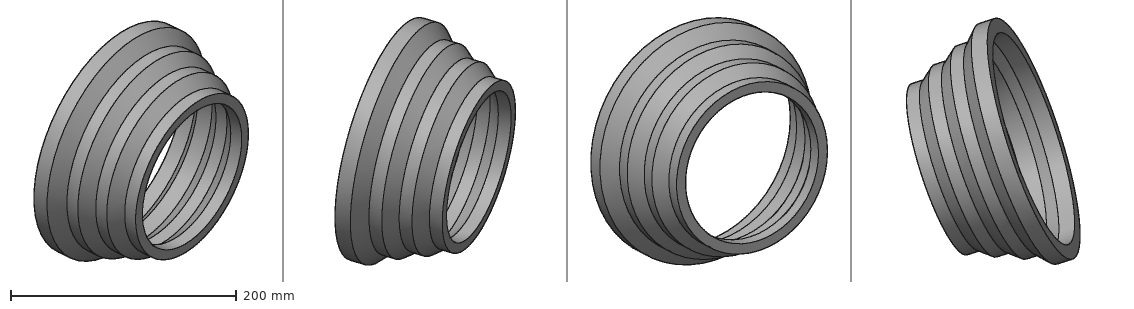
import cadquery as cq

outer_radii = [112.5, 100.0, 90.0, 80.0]
inner_radii = [99.0, 90.5, 80.5, 70.5]

length = 90.0
rim_length = 15.0
step_count = len(outer_radii) - 1
segment_length = (length - rim_length) / (2 * step_count)
first_bore_cone_length = 8.5


def stepped_profile(radii, first_cone_length):
    """Return the (x, radius) points of a wall, from the wide end to the narrow end."""
    points = [(0, radii[0]), (rim_length, radii[0])]
    cone_length = first_cone_length
    for step, radius in enumerate(radii[1:]):
        cone_start = rim_length + 2 * step * segment_length
        points.append((cone_start + cone_length, radius))
        points.append((cone_start + 2 * segment_length, radius))
        cone_length = segment_length
    return points


outer_wall = stepped_profile(outer_radii, segment_length)
inner_wall = stepped_profile(inner_radii, first_bore_cone_length)

result = (
    cq.Workplane("XY")
    .polyline(outer_wall + inner_wall[::-1])
    .close()
    .revolve(360, (0, 0, 0), (1, 0, 0))
)